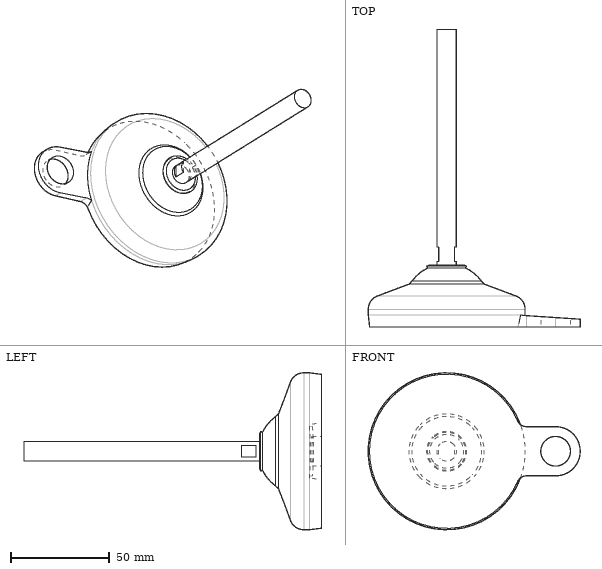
import cadquery as cq
import math

underside_radius = 39.2
foot_radius = 40.0
taper_height = 6.2
rim_height = 9.1
shoulder_round = 7.3
neck_height = 22.0
neck_radius = 19.1
seat_height = 23.5
seat_radius = 17.7

lug_reach = 68.0
lug_radius = 12.5
lug_x = lug_reach - lug_radius
eye_diameter = 15.0
flare_radius = 5.0
lug_tip_thickness = 4.1

collar_base_height = 30.1
collar_base_radius = 9.7
collar_rim_height = 31.0
collar_rim_radius = 10.2
collar_top_height = 31.7
collar_top_radius = 8.6
stem_radius = 5.0
stem_top = 151.5
flat_bottom = 33.5
flat_top = 40.8
across_flats = 8.0


def make_foot_disc():
    """Revolve the foot: tapered rim, rounded shoulder, sloping top and seat."""
    arc_center = foot_radius - shoulder_round
    neck_dx = neck_radius - arc_center
    neck_dy = neck_height - rim_height
    neck_distance = math.hypot(neck_dx, neck_dy)
    arc_angle = math.atan2(neck_dy, neck_dx) - math.acos(shoulder_round / neck_distance)

    def on_shoulder(angle):
        return (arc_center + shoulder_round * math.cos(angle), rim_height + shoulder_round * math.sin(angle))

    return (
        cq.Workplane("XY")
        .moveTo(0, 0)
        .lineTo(underside_radius, 0)
        .lineTo(foot_radius, taper_height)
        .lineTo(foot_radius, rim_height)
        .threePointArc(on_shoulder(arc_angle / 2), on_shoulder(arc_angle))
        .lineTo(neck_radius, neck_height)
        .lineTo(seat_radius, seat_height)
        .lineTo(0, seat_height)
        .close()
        .revolve(360, (0, 0, 0), (0, 1, 0))
    )


def make_lug():
    """Lug outline flared into the disc, with a top that slopes down to the tip."""
    flare_z = lug_radius + flare_radius
    center_distance = underside_radius + flare_radius
    flare_x = math.sqrt(center_distance**2 - flare_z**2)
    root_angle = math.atan2(flare_z, flare_x)
    root_x = underside_radius * math.cos(root_angle)
    root_z = underside_radius * math.sin(root_angle)
    mid_angle = (root_angle + math.pi / 2) / 2
    mid_x = flare_x - flare_radius * math.cos(mid_angle)
    mid_z = flare_z - flare_radius * math.sin(mid_angle)

    outline = (
        cq.Workplane("XZ")
        .moveTo(0, 0)
        .lineTo(root_x, root_z)
        .threePointArc((mid_x, mid_z), (flare_x, lug_radius))
        .lineTo(lug_x, lug_radius)
        .threePointArc((lug_reach, 0), (lug_x, -lug_radius))
        .lineTo(flare_x, -lug_radius)
        .threePointArc((mid_x, -mid_z), (root_x, -root_z))
        .close()
        .extrude(-taper_height)
    )
    side_profile = (
        cq.Workplane("XY")
        .moveTo(0, 0)
        .lineTo(lug_reach, 0)
        .lineTo(lug_reach, lug_tip_thickness)
        .lineTo(root_x, taper_height)
        .lineTo(0, taper_height)
        .close()
        .extrude(foot_radius, both=True)
    )
    eye = cq.Workplane("XZ").center(lug_x, 0).circle(eye_diameter / 2).extrude(-taper_height)
    return outline.intersect(side_profile).cut(eye)


def make_foot():
    return make_foot_disc().union(make_lug())


def make_stem():
    """Revolve the dome, collar and rod, then cut the two wrench flats."""
    dome_center = (
        collar_base_radius**2 + collar_base_height**2 - seat_radius**2 - seat_height**2
    ) / (2 * (collar_base_height - seat_height))
    dome_radius = math.hypot(seat_radius, seat_height - dome_center)
    start_angle = math.atan2(seat_height - dome_center, seat_radius)
    end_angle = math.atan2(collar_base_height - dome_center, collar_base_radius)
    mid_angle = (start_angle + end_angle) / 2
    dome_mid = (dome_radius * math.cos(mid_angle), dome_center + dome_radius * math.sin(mid_angle))

    stem = (
        cq.Workplane("XY")
        .moveTo(0, seat_height)
        .lineTo(seat_radius, seat_height)
        .threePointArc(dome_mid, (collar_base_radius, collar_base_height))
        .lineTo(collar_rim_radius, collar_rim_height)
        .lineTo(collar_top_radius, collar_top_height)
        .lineTo(stem_radius, collar_top_height)
        .lineTo(stem_radius, stem_top)
        .lineTo(0, stem_top)
        .close()
        .revolve(360, (0, 0, 0), (0, 1, 0))
    )
    for side in (-1, 1):
        cutter = cq.Workplane("XY").box(stem_radius, flat_top - flat_bottom, 2 * stem_radius)
        cutter_x = side * (across_flats + stem_radius) / 2
        stem = stem.cut(cutter.translate((cutter_x, (flat_bottom + flat_top) / 2, 0)))
    return stem


foot = make_foot()
stem = make_stem()

result = cq.Compound.makeCompound([foot.val(), stem.val()])